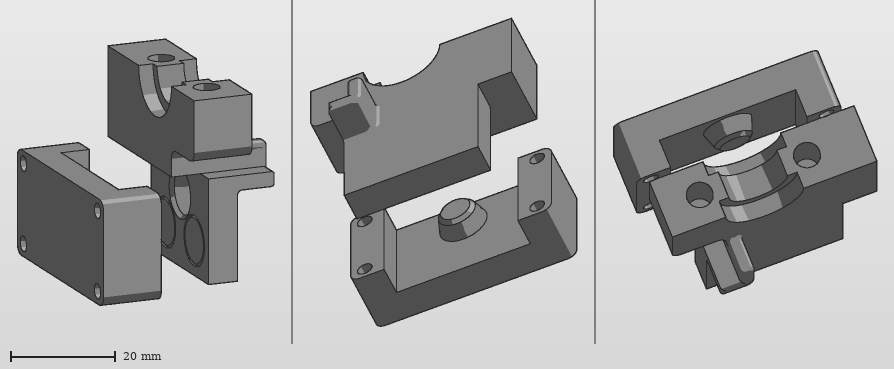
import cadquery as cq


width = 42.0
plate_height = 21.0
total_height = 39.0
total_depth = 38.8
part_depth = 12.0
gap = 6.8
block_front = part_depth + gap
wall = block_front + part_depth
corner_radius = 2.0

arm_width = 7.0
cavity_depth = 5.9
cover_floor = part_depth - cavity_depth
plate_width = width - 2 * arm_width
plate_thickness = 6.0
plate_front = wall - plate_thickness
plate_right = arm_width + plate_width

screw_hole_diameter = 3.02
screw_inset_x = 3.0
screw_pitch_z = 15.95

boss_height = 14.7
boss_root_radius = 4.95
boss_shoulder_radius = 3.85
boss_tip_radius = 3.05
boss_shoulder_length = 3.1
boss_length = 3.9
socket_rim_radius = 5.2
socket_chamfer = 0.75
socket_floor_radius = 3.35

magnet_diameter = 10.0
magnet_thickness = 2.0
magnet_chamfer = 0.5
magnet_pitch = 14.0
magnet_height = 6.95
magnet_positions = ((width - magnet_pitch) / 2, (width + magnet_pitch) / 2)

notch_left = 31.0
notch_top = 26.6
saddle_x = 23.0
saddle_radius = 6.0
counterbore_radius = 8.0
front_counterbore_depth = 3.0
back_counterbore_depth = 3.5
bolt_hole_diameter = 5.12
bolt_hole_depth = 10.0
bolt_offset = 11.0

hook_left = 28.0
hook_bottom = 18.0
hook_top = 26.0
hook_length = total_depth - wall
hook_radius = 1.0


def box(x0, x1, y0, y1, z0, z1):
    return cq.Workplane("XY").box(x1 - x0, y1 - y0, z1 - z0, centered=False).translate((x0, y0, z0))


def rod(x, z, radius, y0, y1):
    """Cylinder along Y."""
    return cq.Workplane("XZ", origin=(x, y0, z)).circle(radius).extrude(y0 - y1)


def stepped_cone(sections, y):
    """Solid of revolution along +Y from y, with straight sides through (radius, distance) sections."""
    profile = cq.Workplane("XY").polyline([(0, 0), *sections, (0, sections[-1][1])]).close()
    return profile.revolve(360, (0, 0), (0, 1)).translate((width / 2, y, boss_height))


def make_boss():
    sections = [
        (boss_root_radius, 0),
        (boss_shoulder_radius, boss_shoulder_length),
        (boss_tip_radius, boss_length),
    ]
    return stepped_cone(sections, cover_floor)


def make_socket():
    sections = [
        (socket_rim_radius, 0),
        (socket_rim_radius - socket_chamfer, socket_chamfer),
        (socket_floor_radius, boss_length),
    ]
    return stepped_cone(sections, plate_front)


def make_cover():
    body = box(0, width, 0, part_depth, 0, plate_height).edges("|Y").fillet(corner_radius)
    body = body.cut(box(arm_width, plate_right, cover_floor, part_depth, 0, plate_height))
    for x in (screw_inset_x, width - screw_inset_x):
        for z in ((plate_height - screw_pitch_z) / 2, (plate_height + screw_pitch_z) / 2):
            body = body.cut(rod(x, z, screw_hole_diameter / 2, 0, part_depth))
    return body.union(make_boss())


def block_prism(y0, y1):
    """Outline of the clamp block with the rounded notch, extruded from y0 to y1."""
    outline = box(0, width, y0, y1, plate_height, total_height)
    outline = outline.cut(box(notch_left, width, y0, y1, plate_height, notch_top))
    inner_corner = cq.selectors.NearestToPointSelector((notch_left, (y0 + y1) / 2, notch_top))
    outer_corner = cq.selectors.NearestToPointSelector((width, (y0 + y1) / 2, notch_top))
    return outline.edges(inner_corner).fillet(corner_radius).edges(outer_corner).fillet(corner_radius)


def plate_prism(y0, y1):
    return box(arm_width, plate_right, y0, y1, 0, plate_height)


def make_hook():
    """L-shaped hook with rounded edges, flared at the back wall and kept within the base outline."""
    end = wall + hook_length
    back = wall - hook_radius
    base_outline = block_prism(back, end).union(plate_prism(back, end))
    hook = box(hook_left, plate_right, wall, end, hook_bottom, hook_top).intersect(base_outline)
    hook = hook.edges("|Y and <X and <Z").fillet(corner_radius)
    hook = hook.edges("|Y and >Z").fillet(hook_radius)
    hook = hook.faces(">Y").edges().fillet(hook_radius)
    slab = box(0, width, back, wall, 0, total_height)
    margin = hook_radius / 2
    around_root = cq.selectors.BoxSelector(
        (hook_left - margin, wall - margin, hook_bottom - margin),
        (plate_right + margin, wall + margin, hook_top + margin),
        boundingbox=True,
    )
    flared = slab.union(hook).edges(around_root).fillet(hook_radius)
    return flared.intersect(base_outline).intersect(box(0, width, wall, end, 0, total_height))


def magnet_cylinder(x):
    return rod(x, magnet_height, magnet_diameter / 2, plate_front, plate_front + magnet_thickness)


def make_magnet(x):
    """Magnet flush with the plate front, with a chamfered rim."""
    return magnet_cylinder(x).faces("<Y").edges().chamfer(magnet_chamfer)


def make_base():
    base = block_prism(block_front, wall).union(plate_prism(plate_front, wall))
    front_step = block_front + front_counterbore_depth
    back_step = wall - back_counterbore_depth
    base = base.cut(rod(saddle_x, total_height, saddle_radius, block_front, wall))
    base = base.cut(rod(saddle_x, total_height, counterbore_radius, block_front, front_step))
    base = base.cut(rod(saddle_x, total_height, counterbore_radius, back_step, wall))
    for x in (saddle_x - bolt_offset, saddle_x + bolt_offset):
        hole = cq.Workplane("XY", origin=(x, block_front + part_depth / 2, total_height))
        base = base.cut(hole.circle(bolt_hole_diameter / 2).extrude(-bolt_hole_depth))
    base = base.cut(make_socket())
    for x in magnet_positions:
        base = base.cut(magnet_cylinder(x))
    return base.union(make_hook())


cover = make_cover()
base = make_base()
magnets = [make_magnet(x).val() for x in magnet_positions]
result = cq.Compound.makeCompound([cover.val(), base.val(), *magnets])